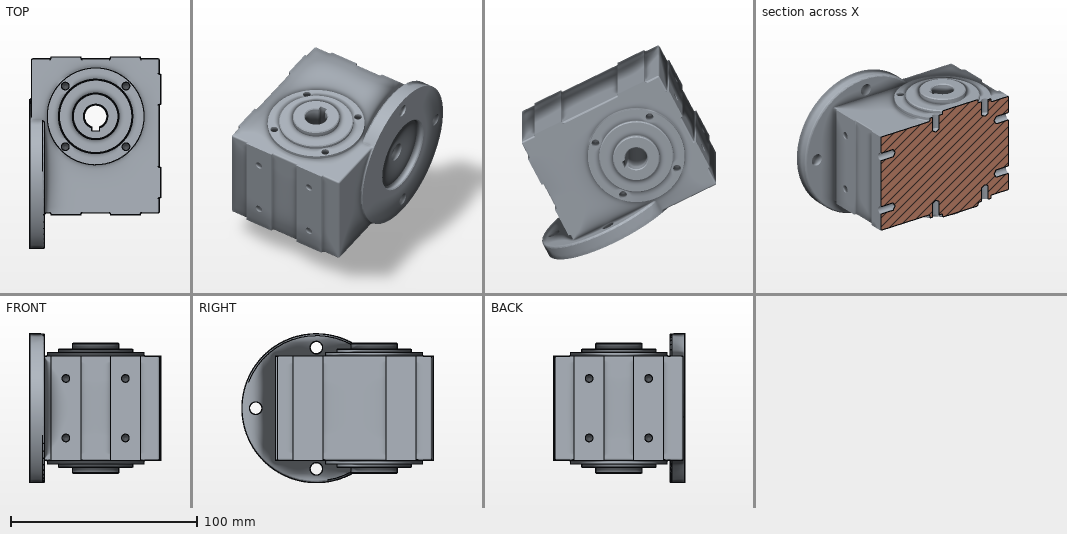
import cadquery as cq
import math


OVERALL_LENGTH = 103.0

FLANGE_X_MIN = -35.4
FLANGE_Y = -31.0
FLANGE_DIAMETER = 80.0
FLANGE_RADIUS = FLANGE_DIAMETER / 2
FLANGE_THICKNESS = 8.0
FLANGE_BACK_RADIUS = 1.0
FLANGE_ROOT_RADIUS = 0.8
PILOT_DIAMETER = 40.0
PILOT_DEPTH = 4.0
PILOT_CHAMFER = 0.5
INPUT_BORE_DIAMETER = 10.0
INPUT_BORE_DEPTH = 8.0
FLANGE_HOLE_DIAMETER = 6.6
FLANGE_HOLE_OFFSET = 32.5
FLANGE_X_MAX = FLANGE_X_MIN + FLANGE_THICKNESS

HALF_HEIGHT = 28.0
CORE_X_MIN = -34.5
CORE_X_MAX = 34.2
PAD_X_MAX = 35.0
PAD_Y_MAX = OVERALL_LENGTH + FLANGE_Y - FLANGE_RADIUS
PAD_Y_MIN = -52.9
PAD_STEP = 1.0
EDGE_RADIUS = 0.9
FRONT_EDGE_RADIUS = 0.5
CORE_Y_MIN = PAD_Y_MIN + PAD_STEP
CORE_Y_MAX = PAD_Y_MAX - PAD_STEP
BLOCK_Y_MID = (PAD_Y_MIN + PAD_Y_MAX) / 2

PAD_WIDTH = 16.1
Y_PAD_OFFSET = 16.0
X_PAD_OFFSET = 25.0
PAD_ROOT_DEPTH = 5.2
PAD_ROOT_RADIUS = 0.7

COVER_DIAMETER = 52.0
COVER_HEIGHT = 2.0
COVER_ROOT_RADIUS = 0.5
COLLAR_DIAMETER = 40.0
COLLAR_HEIGHT = 2.0
SHAFT_DIAMETER = 25.0
SHAFT_HEIGHT = 3.1
RIM_CHAMFER = 0.5
BORE_DIAMETER = 12.0
BORE_CHAMFER = 0.5
KEY_WIDTH = 4.0
KEY_DEPTH = 7.8
COVER_TOP = HALF_HEIGHT + COVER_HEIGHT
COLLAR_TOP = COVER_TOP + COLLAR_HEIGHT
SHAFT_TOP = COLLAR_TOP + SHAFT_HEIGHT

TAP_DIAMETER = 4.1
TAP_DEPTH = 8.2
TAP_TIP_ANGLE = 118.0
COVER_TAP_OFFSET = 16.3
PAD_TAP_OFFSET = 16.0


def block(x_min, x_max, y_min, y_max):
    """Rectangular block spanning the full housing height."""
    size = (x_max - x_min, y_max - y_min, 2 * HALF_HEIGHT)
    return cq.Workplane().box(*size).translate(((x_min + x_max) / 2, (y_min + y_max) / 2, 0))


def tapped_holes(plane, offset):
    """Four blind conical-tipped holes in a square pattern, sunk into the plane."""
    radius = TAP_DIAMETER / 2
    tip_depth = radius / math.tan(math.radians(TAP_TIP_ANGLE / 2))
    drill = cq.Solid.makeCylinder(radius, TAP_DEPTH, cq.Vector(0, 0, 0), cq.Vector(0, 0, -1))
    tip = cq.Solid.makeCone(radius, 0, tip_depth, cq.Vector(0, 0, -TAP_DEPTH), cq.Vector(0, 0, -1))
    drill = drill.fuse(tip)
    holes = cq.Workplane()
    for u in (-offset, offset):
        for v in (-offset, offset):
            place = cq.Location(plane) * cq.Location(cq.Vector(u, v, 0))
            holes = holes.add(drill.moved(place))
    return holes.combine()


def nearest(x, y, z):
    """Selector for the edge whose centre is nearest to the given point."""
    return cq.selectors.NearestToPointSelector((x, y, z))


def flange_back_rounding():
    """Waste ring that rounds the back rim of the flange outside the housing core."""
    radius = FLANGE_BACK_RADIUS
    inset = radius * (1 - math.sqrt(0.5))
    arc_mid = (FLANGE_X_MAX - inset, FLANGE_RADIUS - inset)
    x_start = FLANGE_X_MAX - radius
    ring = (
        cq.Workplane("XY")
        .moveTo(x_start, FLANGE_RADIUS)
        .threePointArc(arc_mid, (FLANGE_X_MAX, FLANGE_RADIUS - radius))
        .lineTo(FLANGE_X_MAX, FLANGE_RADIUS + radius)
        .lineTo(x_start, FLANGE_RADIUS + radius)
        .close()
        .revolve(360, (0, 0), (1, 0))
        .translate((0, FLANGE_Y, 0))
    )
    return ring.cut(block(CORE_X_MIN, CORE_X_MAX, CORE_Y_MIN, CORE_Y_MAX))


def sharp_housing():
    """Housing core joined to the motor flange, all edges still sharp."""
    core = block(CORE_X_MIN, CORE_X_MAX, CORE_Y_MIN, CORE_Y_MAX)
    flange = (
        cq.Workplane("YZ", origin=(FLANGE_X_MIN, FLANGE_Y, 0))
        .circle(FLANGE_RADIUS)
        .extrude(FLANGE_THICKNESS)
    )
    return core.union(flange)


def fillet_edges_near(body, points, radius):
    """Fillet together the edges whose centres are nearest to the given points."""
    edges = [body.edges(nearest(*point)).val() for point in points]
    return body.newObject(edges).fillet(radius)


def round_flange_roots(body):
    """Round where the flange meets the -X, top, bottom and -Y faces of the core."""
    half_angle = math.asin(HALF_HEIGHT / FLANGE_RADIUS) / 2
    arc_y = FLANGE_Y + FLANGE_RADIUS * math.cos(half_angle)
    arc_z = FLANGE_RADIUS * math.sin(half_angle)
    rim_x = (CORE_X_MIN + FLANGE_X_MAX) / 2
    rim_y = FLANGE_Y + math.sqrt(FLANGE_RADIUS**2 - HALF_HEIGHT**2)
    points = [(FLANGE_X_MAX, CORE_Y_MIN, 0)]
    for side in (-1, 1):
        points.append((rim_x, rim_y, side * HALF_HEIGHT))
        points.append((CORE_X_MIN, arc_y, side * arc_z))
    return fillet_edges_near(body, points, FLANGE_ROOT_RADIUS)


def round_core_edges(body):
    """Round the outer edges of the core; the -Y top and bottom edges are tighter."""
    points = [(CORE_X_MAX, CORE_Y_MAX, 0), (CORE_X_MAX, CORE_Y_MIN, 0), (CORE_X_MIN, CORE_Y_MAX, 0)]
    front_points = []
    front_x = (FLANGE_X_MAX + CORE_X_MAX) / 2
    for z in (-HALF_HEIGHT, HALF_HEIGHT):
        points.append((CORE_X_MAX, BLOCK_Y_MID, z))
        points.append((0, CORE_Y_MAX, z))
        points.append((CORE_X_MIN, CORE_Y_MAX / 2, z))
        front_points.append((front_x, CORE_Y_MIN, z))
    body = fillet_edges_near(body, points, EDGE_RADIUS)
    return fillet_edges_near(body, front_points, FRONT_EDGE_RADIUS)


def add_pads(body):
    """Pads on the +X, +Y and -Y sides, flush with the housing top and bottom."""
    half = PAD_WIDTH / 2
    root_points = []
    for side in (-1, 1):
        x = side * Y_PAD_OFFSET
        y = BLOCK_Y_MID + side * X_PAD_OFFSET
        body = body.union(block(x - half, x + half, PAD_Y_MIN, PAD_Y_MIN + PAD_ROOT_DEPTH))
        body = body.union(block(x - half, x + half, PAD_Y_MAX - PAD_ROOT_DEPTH, PAD_Y_MAX))
        body = body.union(block(PAD_X_MAX - PAD_ROOT_DEPTH, PAD_X_MAX, y - half, y + half))
        for edge in (-half, half):
            root_points.append((x + edge, CORE_Y_MIN, 0))
            root_points.append((x + edge, CORE_Y_MAX, 0))
            root_points.append((CORE_X_MAX, y + edge, 0))
    for point in root_points:
        body = body.edges(nearest(*point)).fillet(PAD_ROOT_RADIUS)
    return body


def output_end():
    """Cover, collar and shaft end stacked on the top face."""
    cover_r = COVER_DIAMETER / 2
    collar_r = COLLAR_DIAMETER / 2
    shaft_r = SHAFT_DIAMETER / 2
    root = COVER_ROOT_RADIUS
    arc_in = root * (1 - math.sqrt(0.5))
    return (
        cq.Workplane("XZ")
        .moveTo(0, 0)
        .lineTo(cover_r + root, 0)
        .lineTo(cover_r + root, HALF_HEIGHT)
        .threePointArc((cover_r + arc_in, HALF_HEIGHT + arc_in), (cover_r, HALF_HEIGHT + root))
        .lineTo(cover_r, COVER_TOP)
        .lineTo(collar_r, COVER_TOP)
        .lineTo(collar_r, COLLAR_TOP - RIM_CHAMFER)
        .lineTo(collar_r - RIM_CHAMFER, COLLAR_TOP)
        .lineTo(shaft_r, COLLAR_TOP)
        .lineTo(shaft_r, SHAFT_TOP - RIM_CHAMFER)
        .lineTo(shaft_r - RIM_CHAMFER, SHAFT_TOP)
        .lineTo(0, SHAFT_TOP)
        .close()
        .revolve(360, (0, 0), (0, 1))
    )


def shaft_bore():
    """Through bore with chamfered mouths and a keyway on the -Y side."""
    bore = cq.Workplane().cylinder(2 * SHAFT_TOP, BORE_DIAMETER / 2)
    key = cq.Workplane().box(KEY_WIDTH, KEY_DEPTH, 2 * SHAFT_TOP).translate((0, -KEY_DEPTH / 2, 0))
    mouth_r = BORE_DIAMETER / 2 + BORE_CHAMFER
    top = cq.Vector(0, 0, SHAFT_TOP)
    mouth = cq.Solid.makeCone(mouth_r, BORE_DIAMETER / 2, BORE_CHAMFER, top, cq.Vector(0, 0, -1))
    return bore.union(key).union(cq.Workplane(mouth)).union(cq.Workplane(mouth.mirror("XY")))


def flange_cuts():
    """Chamfered pilot recess, input bore and three fixing holes."""
    face = cq.Workplane("YZ", origin=(FLANGE_X_MIN, FLANGE_Y, 0))
    pilot_r = PILOT_DIAMETER / 2
    pilot = face.circle(pilot_r).extrude(PILOT_DEPTH)
    centre = cq.Vector(FLANGE_X_MIN, FLANGE_Y, 0)
    mouth = cq.Solid.makeCone(pilot_r + PILOT_CHAMFER, pilot_r, PILOT_CHAMFER, centre, cq.Vector(1, 0, 0))
    bore = face.circle(INPUT_BORE_DIAMETER / 2).extrude(INPUT_BORE_DEPTH)
    hole_points = [(0, FLANGE_HOLE_OFFSET), (0, -FLANGE_HOLE_OFFSET), (-FLANGE_HOLE_OFFSET, 0)]
    holes = face.pushPoints(hole_points).circle(FLANGE_HOLE_DIAMETER / 2).extrude(FLANGE_THICKNESS)
    return pilot.union(cq.Workplane(mouth)).union(bore).union(holes)


housing = round_core_edges(round_flange_roots(sharp_housing()))
housing = add_pads(housing.cut(flange_back_rounding()))

end = output_end()
result = housing.union(end).union(end.mirror("XY"))
result = result.cut(shaft_bore()).cut(flange_cuts())

cover_planes = [
    cq.Plane(origin=(0, 0, side * COVER_TOP), xDir=(1, 0, 0), normal=(0, 0, side)) for side in (-1, 1)
]
pad_planes = [
    cq.Plane(origin=(0, PAD_Y_MIN, 0), xDir=(1, 0, 0), normal=(0, -1, 0)),
    cq.Plane(origin=(0, PAD_Y_MAX, 0), xDir=(1, 0, 0), normal=(0, 1, 0)),
]
for plane in cover_planes:
    result = result.cut(tapped_holes(plane, COVER_TAP_OFFSET))
for plane in pad_planes:
    result = result.cut(tapped_holes(plane, PAD_TAP_OFFSET))
result = result.solids()